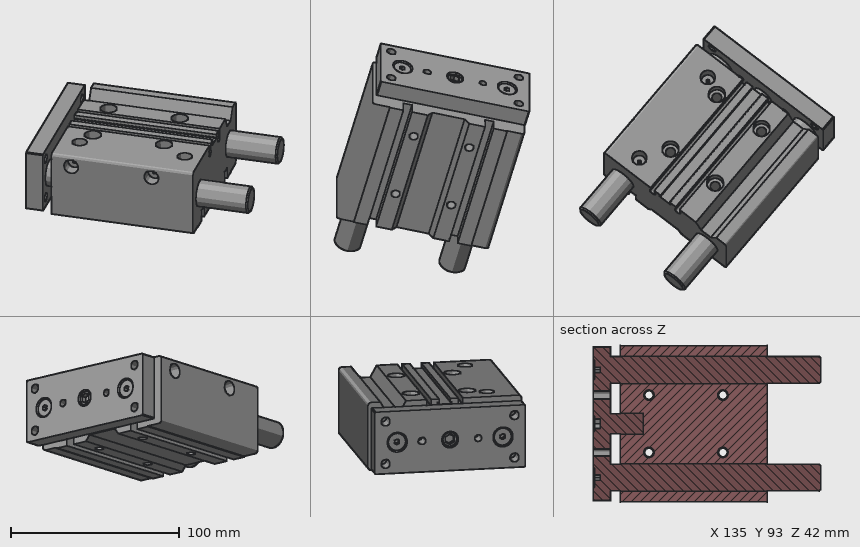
import cadquery as cq
import math


TOTAL_LENGTH = 135.0

PLATE_THICKNESS = 10.4
PLATE_WIDTH = 91.1
PLATE_HEIGHT = 38.1
PLATE_EDGE_CHAMFER = 0.5

HOUSING_START = 15.9
HOUSING_LENGTH = 87.3
HOUSING_END = HOUSING_START + HOUSING_LENGTH
HOUSING_WIDTH = 93.0
HOUSING_HEIGHT = 42.0
HOUSING_CORNER_RADIUS = 2.0
HOUSING_TOP = HOUSING_HEIGHT / 2
HOUSING_BOTTOM = -HOUSING_HEIGHT / 2
HOUSING_SIDE = HOUSING_WIDTH / 2

GUIDE_ROD_DIAMETER = 16.0
GUIDE_ROD_Y = 32.0
GUIDE_ROD_CHAMFER = 1.0
PISTON_ROD_DIAMETER = 12.0
PISTON_ROD_ENGAGEMENT = 13.5

MOUNTING_Y = 17.0

CORNER_HOLE_DIAMETER = 5.3
CORNER_HOLE_Y = 39.0
CORNER_HOLE_Z = 13.0
DOWEL_DIAMETER = 4.0
DOWEL_SLOT_LENGTH = 4.6
RECESS_DEPTH = 0.8
GUIDE_RECESS_DIAMETER = 12.0
GUIDE_SOCKET_FLATS = 3.0
PISTON_RECESS_DIAMETER = 10.0
PISTON_SOCKET_FLATS = 5.4
HEX_SOCKET_DEPTH = 4.0

WIDE_GROOVE_TOP_Y = (23.5, 39.0)
WIDE_GROOVE_FLOOR_Y = (27.4, 34.8)
WIDE_GROOVE_DEPTH = 7.0
SENSOR_SLOT_Y = 9.6
SENSOR_SLOT_WIDTH = 2.8
SENSOR_BORE_DIAMETER = 4.3
SENSOR_BORE_DEPTH = 5.7
RAIL_GROOVE_WIDTH = 6.9
RAIL_GROOVE_FLOOR_WIDTH = 8.6
RAIL_LIP_DEPTH = 2.2
RAIL_GROOVE_DEPTH = 3.1

BOTTOM_SLOT_Y = 25.0
BOTTOM_SLOT_WIDTH = 5.3
BOTTOM_SLOT_DEPTH = 7.0
BOTTOM_GROOVE_WIDTH = 25.4
BOTTOM_GROOVE_FLOOR_WIDTH = 19.7
BOTTOM_GROOVE_DEPTH = 3.5
BOTTOM_RELIEF_Y = 35.9
BOTTOM_RELIEF_DEPTH = 0.47

MOUNTING_X = (33.1, 77.0)
CLEARANCE_HOLE_DIAMETER = 5.8
LOWER_HOLE_DIAMETER = 5.1
LOWER_HOLE_LENGTH = 16.2
COUNTERBORE_DIAMETER = 10.0
COUNTERBORE_DEPTH = 6.0
PORT_MOUTH_DIAMETER = 8.8
PORT_FLOOR_DIAMETER = 7.7
PORT_DEPTH = 6.8
PORT_DRILL_DIAMETER = 2.0
PORT_DRILL_DEPTH = 2.7
TOP_PORT_X = (28.1, 92.9)
TOP_PORT_Y = -28.0
SIDE_PORT_X = (28.1, 77.6)
SIDE_PORT_Z = 14.0

AXIS_X = cq.Vector(1, 0, 0)


def rod(diameter, start, end, y=0.0):
    """Round bar along X, centred on Z = 0."""
    return cq.Workplane("YZ", origin=(start, y, 0)).circle(diameter / 2).extrude(end - start)


def guide_rod(y, start, end):
    return rod(GUIDE_ROD_DIAMETER, start, end, y).faces(">X").chamfer(GUIDE_ROD_CHAMFER)


def end_recess(diameter, y):
    """Shallow 45 degree conical recess in the front face of the plate."""
    radius = diameter / 2
    centre = cq.Vector(0, y, 0)
    return cq.Workplane(cq.Solid.makeCone(radius, radius - RECESS_DEPTH, RECESS_DEPTH, centre, AXIS_X))


def hex_socket(across_flats, y):
    """Blind hexagon socket in the front face, with two corners pointing up and down."""
    corner_diameter = across_flats / math.cos(math.pi / 6)
    return (
        cq.Workplane("YZ", origin=(0, y, 0))
        .transformed(rotate=(0, 0, 90))
        .polygon(6, corner_diameter)
        .extrude(HEX_SOCKET_DEPTH)
    )


def make_slide():
    """Tool plate with the two guide rods and the piston rod fixed to it."""
    slide = (
        cq.Workplane("XY")
        .box(PLATE_THICKNESS, PLATE_WIDTH, PLATE_HEIGHT, centered=(False, True, True))
        .edges("|X")
        .chamfer(PLATE_EDGE_CHAMFER)
    )

    for y in (-GUIDE_ROD_Y, GUIDE_ROD_Y):
        slide = slide.union(guide_rod(y, PLATE_THICKNESS, TOTAL_LENGTH))
        slide = slide.cut(end_recess(GUIDE_RECESS_DIAMETER, y))
        slide = slide.cut(hex_socket(GUIDE_SOCKET_FLATS, y))

    slide = slide.union(rod(PISTON_ROD_DIAMETER, PLATE_THICKNESS, HOUSING_START + PISTON_ROD_ENGAGEMENT))
    slide = slide.cut(end_recess(PISTON_RECESS_DIAMETER, 0))
    slide = slide.cut(hex_socket(PISTON_SOCKET_FLATS, 0))

    corner_holes = (
        cq.Workplane("YZ")
        .rect(2 * CORNER_HOLE_Y, 2 * CORNER_HOLE_Z, forConstruction=True)
        .vertices()
        .circle(CORNER_HOLE_DIAMETER / 2)
        .extrude(PLATE_THICKNESS)
    )
    dowel_hole = rod(DOWEL_DIAMETER, 0, PLATE_THICKNESS, -MOUNTING_Y)
    dowel_slot = (
        cq.Workplane("YZ")
        .center(MOUNTING_Y, 0)
        .slot2D(DOWEL_SLOT_LENGTH, DOWEL_DIAMETER)
        .extrude(PLATE_THICKNESS)
    )
    return slide.cut(corner_holes).cut(dowel_hole).cut(dowel_slot)


def lengthwise_prism(points):
    """Closed YZ outline carried along the whole housing."""
    return cq.Workplane("YZ", origin=(HOUSING_START, 0, 0)).polyline(points).close().extrude(HOUSING_LENGTH)


def lengthwise_bar(y, width, z_start, z_end):
    """Rectangular bar along the whole housing, from z_start up to z_end."""
    half = width / 2
    return lengthwise_prism([(y - half, z_start), (y + half, z_start), (y + half, z_end), (y - half, z_end)])


def cut_top_grooves(housing):
    wide_groove_floor = HOUSING_TOP - WIDE_GROOVE_DEPTH
    housing = housing.cut(
        lengthwise_prism(
            [
                (WIDE_GROOVE_TOP_Y[0], HOUSING_TOP),
                (WIDE_GROOVE_FLOOR_Y[0], wide_groove_floor),
                (WIDE_GROOVE_FLOOR_Y[1], wide_groove_floor),
                (WIDE_GROOVE_TOP_Y[1], HOUSING_TOP),
            ]
        )
    )

    sensor_bore_z = HOUSING_TOP - SENSOR_BORE_DEPTH
    for y in (-SENSOR_SLOT_Y, SENSOR_SLOT_Y):
        bore = rod(SENSOR_BORE_DIAMETER, HOUSING_START, HOUSING_END, y)
        housing = housing.cut(bore.translate((0, 0, sensor_bore_z)))
        housing = housing.cut(lengthwise_bar(y, SENSOR_SLOT_WIDTH, sensor_bore_z, HOUSING_TOP))

    lip_underside = HOUSING_TOP - RAIL_LIP_DEPTH
    rail_floor = HOUSING_TOP - RAIL_GROOVE_DEPTH
    housing = housing.cut(lengthwise_bar(0, RAIL_GROOVE_WIDTH, lip_underside, HOUSING_TOP))
    return housing.cut(lengthwise_bar(0, RAIL_GROOVE_FLOOR_WIDTH, rail_floor, lip_underside))


def cut_bottom_grooves(housing):
    groove_floor = HOUSING_BOTTOM + BOTTOM_GROOVE_DEPTH
    housing = housing.cut(
        lengthwise_prism(
            [
                (-BOTTOM_GROOVE_WIDTH / 2, HOUSING_BOTTOM),
                (BOTTOM_GROOVE_WIDTH / 2, HOUSING_BOTTOM),
                (BOTTOM_GROOVE_FLOOR_WIDTH / 2, groove_floor),
                (-BOTTOM_GROOVE_FLOOR_WIDTH / 2, groove_floor),
            ]
        )
    )
    for y in (-BOTTOM_SLOT_Y, BOTTOM_SLOT_Y):
        slot_floor = HOUSING_BOTTOM + BOTTOM_SLOT_DEPTH
        housing = housing.cut(lengthwise_bar(y, BOTTOM_SLOT_WIDTH, HOUSING_BOTTOM, slot_floor))
    return housing


def mounting_hole(x, y):
    """Stepped hole through the height: counterbore, clearance hole, then a narrower lower hole."""

    def upright_hole(diameter, z_bottom, z_top):
        return cq.Workplane("XY", origin=(x, y, z_bottom)).circle(diameter / 2).extrude(z_top - z_bottom)

    lower_hole_top = HOUSING_BOTTOM + LOWER_HOLE_LENGTH
    counterbore_floor = HOUSING_TOP - COUNTERBORE_DEPTH
    lower_hole = upright_hole(LOWER_HOLE_DIAMETER, HOUSING_BOTTOM, lower_hole_top)
    clearance_hole = upright_hole(CLEARANCE_HOLE_DIAMETER, lower_hole_top, counterbore_floor)
    counterbore = upright_hole(COUNTERBORE_DIAMETER, counterbore_floor, HOUSING_TOP)
    return lower_hole.union(clearance_hole).union(counterbore)


def port(position, direction):
    """Slightly tapered port with a small drilled passage in its floor."""
    start = cq.Vector(*position)
    inward = cq.Vector(*direction)
    mouth = cq.Solid.makeCone(PORT_MOUTH_DIAMETER / 2, PORT_FLOOR_DIAMETER / 2, PORT_DEPTH, start, inward)
    drill = cq.Solid.makeCylinder(PORT_DRILL_DIAMETER / 2, PORT_DEPTH + PORT_DRILL_DEPTH, start, inward)
    return cq.Workplane(mouth).union(cq.Workplane(drill))


def make_housing():
    """Grooved guide housing with bores that fit the rods."""
    strip_bottom = HOUSING_BOTTOM + BOTTOM_RELIEF_DEPTH
    housing = lengthwise_bar(0, HOUSING_WIDTH, strip_bottom, HOUSING_TOP)
    housing = housing.edges("|X").fillet(HOUSING_CORNER_RADIUS)
    housing = housing.union(lengthwise_bar(0, 2 * BOTTOM_RELIEF_Y, HOUSING_BOTTOM, strip_bottom))

    housing = cut_top_grooves(housing)
    housing = cut_bottom_grooves(housing)

    for x in MOUNTING_X:
        for y in (-MOUNTING_Y, MOUNTING_Y):
            housing = housing.cut(mounting_hole(x, y))

    for x in TOP_PORT_X:
        housing = housing.cut(port((x, TOP_PORT_Y, HOUSING_TOP), (0, 0, -1)))
    for x in SIDE_PORT_X:
        housing = housing.cut(port((x, -HOUSING_SIDE, SIDE_PORT_Z), (0, 1, 0)))

    for y in (-GUIDE_ROD_Y, GUIDE_ROD_Y):
        housing = housing.cut(rod(GUIDE_ROD_DIAMETER, HOUSING_START, HOUSING_END, y))
    return housing.cut(rod(PISTON_ROD_DIAMETER, HOUSING_START, HOUSING_START + PISTON_ROD_ENGAGEMENT))


housing = make_housing()
slide = make_slide()

result = cq.Compound.makeCompound([*housing.solids().vals(), *slide.solids().vals()])